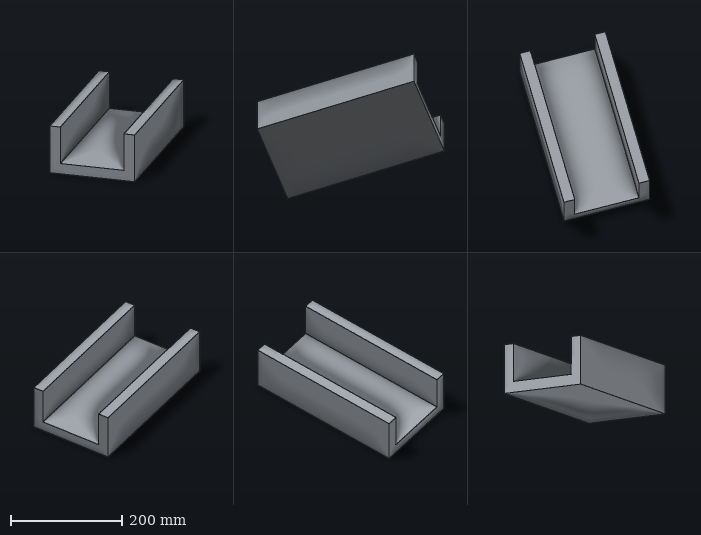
import cadquery as cq

length = 300.0
width = 160.0
height = 90.0
thickness = 20.0

channel_width = width - 2 * thickness
channel_depth = height - thickness

block = cq.Workplane("XY").box(width, length, height, centered=(True, True, False))

channel = (
    cq.Workplane("XY")
    .workplane(offset=thickness)
    .box(channel_width, length, channel_depth, centered=(True, True, False))
)

result = block.cut(channel)